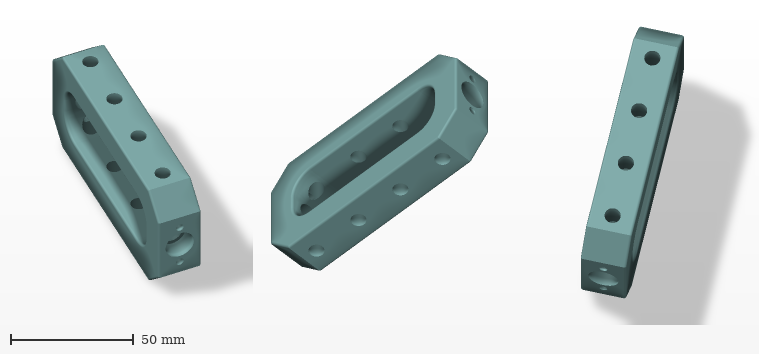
import cadquery as cq

length = 106.7
depth = 19.1
height = 50.8
corner_cut = 10.1
edge_radius = 1.01

end_wall = 12.7
window_length = length - 2 * end_wall
window_height = height / 2
window_radius = 9.5

rail_hole_count = 4
rail_hole_spacing = 24.1
rail_hole_diameter = 6.6

bore_diameter = 9.5
counterbore_diameter = 12.7
counterbore_depth = 8.1
screw_hole_count = 2
screw_hole_diameter = 3.4
screw_hole_spacing = 19.1


def make_frame():
    """Rectangular ring with cut outer corners and rounded front and back rims."""
    block = cq.Workplane("XY").box(length, depth, height).edges("|Y").chamfer(corner_cut)
    window = (
        cq.Workplane("XY")
        .box(window_length, depth, window_height)
        .edges("|Y")
        .fillet(window_radius)
    )
    return block.cut(window).faces("<Y or >Y").edges().fillet(edge_radius)


def make_rail_holes():
    """Vertical cylinders spanning the full height."""
    return (
        cq.Workplane("XY")
        .rarray(rail_hole_spacing, 1.1, rail_hole_count, 1)
        .circle(rail_hole_diameter / 2)
        .extrude(height / 2, both=True)
    )


def make_lengthwise_holes():
    """Bore and screw holes along X, passing through both end walls."""
    bore = cq.Workplane("YZ").circle(bore_diameter / 2).extrude(length / 2, both=True)
    screw_holes = (
        cq.Workplane("YZ")
        .rarray(1.1, screw_hole_spacing, 1, screw_hole_count)
        .circle(screw_hole_diameter / 2)
        .extrude(length / 2, both=True)
    )
    return bore.union(screw_holes)


def make_counterbore(side):
    """Counterbore entering from the end face at -X (side = -1) or +X (side = 1)."""
    return (
        cq.Workplane("YZ")
        .workplane(offset=side * length / 2)
        .circle(counterbore_diameter / 2)
        .extrude(-side * counterbore_depth)
    )


result = make_frame().cut(make_rail_holes()).cut(make_lengthwise_holes())
for end_side in (-1, 1):
    result = result.cut(make_counterbore(end_side))